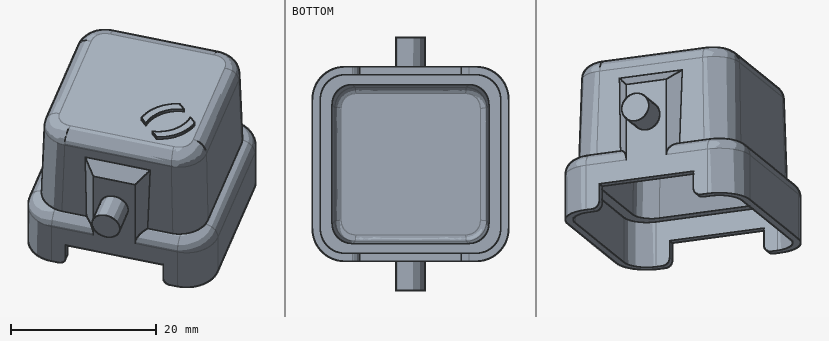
import cadquery as cq

base_length = 27.0
base_width = 26.75
base_height = 8.5
base_corner_radius = 4.5
edge_radius = 2.0

overall_height = 22.95
crown_height = 22.5
body_bottom_length = 23.8
body_bottom_width = 24.08
body_draft = 0.42
body_corner_radius = 3.9
shoulder_height = base_height - edge_radius

wall = 1.1

boss_width = 6.0
boss_height = 17.45
boss_depth = 2.1
pin_diameter = 4.0
pin_height = 12.45
pin_span = 34.8

notch_width = 14.0
notch_height = 3.5
notch_lip_radius = 1.0

band_x = 5.32
band_y = -5.3
band_angle = 45
band_half_length = 3.0
band_inner_end = 0.9
band_inner_middle = 1.95
band_outer_end = 2.2
band_outer_middle = 3.05


def rounded_prism(length, width, radius, bottom, top):
    """Upright block with rounded corners."""
    block = cq.Workplane("XY", origin=(0, 0, bottom)).rect(length, width).extrude(top - bottom)
    return block.edges("|Z").fillet(radius)


def drafted_prism(inset, bottom, top):
    """Upper body shape, moved inward by inset, between two heights."""
    draft_slope = body_draft / (crown_height - shoulder_height)

    def section(height):
        shrink = 2 * (inset + draft_slope * (height - shoulder_height))
        sketch = cq.Sketch().rect(body_bottom_length - shrink, body_bottom_width - shrink)
        return sketch.vertices().fillet(body_corner_radius - inset)

    low = section(bottom).moved(cq.Location(cq.Vector(0, 0, bottom)))
    high = section(top).moved(cq.Location(cq.Vector(0, 0, top)))
    return cq.Workplane("XY").placeSketch(low, high).loft()


def hood_outside():
    """Skirt with a rounded shoulder, carrying the drafted body with a rounded crown."""
    skirt = rounded_prism(base_length, base_width, base_corner_radius, 0, base_height)
    skirt = skirt.faces(">Z").edges().fillet(edge_radius)
    body = drafted_prism(0, shoulder_height, crown_height)
    body = body.faces(">Z").edges().fillet(edge_radius)
    return skirt.union(body)


def hood_cavity():
    """Space inside the hood, open at the bottom and one wall thickness inside the sides and crown."""
    skirt_space = rounded_prism(
        base_length - 2 * wall,
        base_width - 2 * wall,
        base_corner_radius - wall,
        0,
        shoulder_height,
    )
    body_space = drafted_prism(wall, shoulder_height, crown_height - wall)
    body_space = body_space.faces(">Z").edges().fillet(edge_radius - wall)
    return skirt_space.union(body_space)


def boss():
    """Boss on the -Y side, flush with the skirt and widening inward at its flanks."""
    face_height = boss_height - shoulder_height
    face_middle = shoulder_height + face_height / 2
    spread = 2 * boss_depth
    plane = cq.Workplane("XZ", origin=(0, -base_width / 2, face_middle))
    front = plane.rect(boss_width, face_height)
    return front.workplane(offset=-boss_depth).rect(boss_width + spread, face_height + spread).loft()


def pin():
    """Round pin on the -Y side, starting inside the boss."""
    pin_length = (pin_span - base_width) / 2 + wall
    plane = cq.Workplane("XZ", origin=(0, -pin_span / 2, pin_height))
    return plane.circle(pin_diameter / 2).extrude(-pin_length)


def rim_notch():
    """Notch through both Y walls, with rounded lips at the lower rim."""
    half = notch_width / 2
    lip = notch_lip_radius
    profile = (
        cq.Workplane("XZ", origin=(0, base_width / 2, 0))
        .moveTo(-half, notch_height)
        .lineTo(half, notch_height)
        .lineTo(half, lip)
        .radiusArc((half + lip, 0), -lip)
        .lineTo(-half - lip, 0)
        .radiusArc((-half, lip), -lip)
        .close()
    )
    return profile.extrude(base_width)


def raised_band(turn):
    """Arc-shaped band standing on the crown."""
    band = (
        cq.Workplane("XY")
        .moveTo(-band_half_length, band_inner_end)
        .threePointArc((0, band_inner_middle), (band_half_length, band_inner_end))
        .lineTo(band_half_length, band_outer_end)
        .threePointArc((0, band_outer_middle), (-band_half_length, band_outer_end))
        .close()
        .extrude(overall_height - crown_height)
    )
    band = band.rotate((0, 0, 0), (0, 0, 1), turn)
    return band.translate((band_x, band_y, crown_height))


hood = hood_outside()
lock = boss().union(pin())
for side_turn in (0, 180):
    hood = hood.union(lock.rotate((0, 0, 0), (0, 0, 1), side_turn))
    hood = hood.union(raised_band(band_angle + side_turn))

result = hood.cut(hood_cavity()).cut(rim_notch())